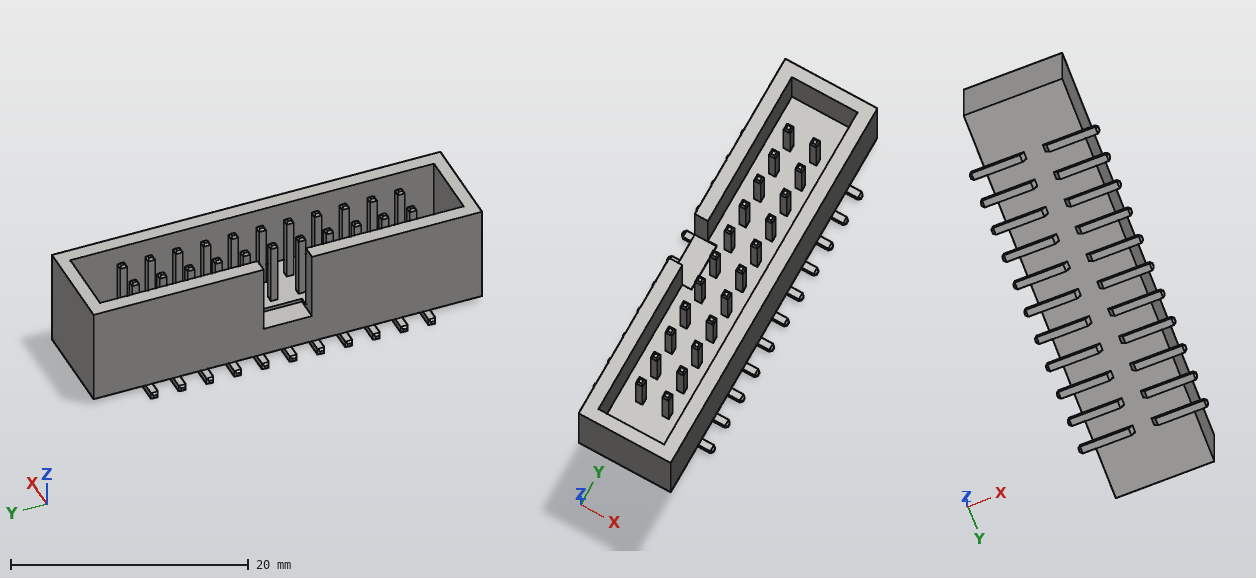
import cadquery as cq

housing_length = 35.55
housing_width = 8.9
housing_height = 9.05
side_wall = 1.28
end_wall = 1.15
cavity_depth = 6.0

slot_width = 4.4
slot_reach = 2.15
slot_depth = 6.33

pins_per_row = 11
end_margin_pitches = 2
pitch = housing_length / (pins_per_row - 1 + 2 * end_margin_pitches)
pin_size = 0.65
leg_thickness = 0.6
tip_length = 0.2
tip_ratio = 0.5
pin_tip_clearance = 0.25
leg_span = 11.6
heel_gap_top = 1.7
heel_gap_bottom = 2.42

housing_bottom = leg_thickness
housing_top = housing_bottom + housing_height


def make_housing():
    """Box with a rectangular cavity and a keying slot, both open to the rim."""
    box = (
        cq.Workplane("XY")
        .workplane(offset=housing_bottom)
        .rect(housing_width, housing_length)
        .extrude(housing_height)
    )
    cavity = (
        cq.Workplane("XY")
        .workplane(offset=housing_top)
        .rect(housing_width - 2 * side_wall, housing_length - 2 * end_wall)
        .extrude(-cavity_depth)
    )
    slot = (
        cq.Workplane("XY")
        .workplane(offset=housing_top)
        .center((slot_reach - housing_width) / 2, 0)
        .rect(slot_reach, slot_width)
        .extrude(-slot_depth)
    )
    return box.cut(cavity).cut(slot)


def make_tip(plane, depth):
    """Truncated pyramid that tapers a contact end along the plane normal."""
    return (
        cq.Workplane(plane)
        .rect(pin_size, depth)
        .workplane(offset=tip_length)
        .rect(pin_size * tip_ratio, depth * tip_ratio)
        .loft()
    )


def make_contact():
    """L-shaped contact of the +X row with a slanted heel, centred on Y = 0."""
    inner_x = (pitch - pin_size) / 2
    outer_x = inner_x + pin_size
    leg_end = leg_span / 2 - tip_length
    pin_end = housing_top - pin_tip_clearance - tip_length
    profile = [
        (heel_gap_bottom / 2, 0),
        (leg_end, 0),
        (leg_end, leg_thickness),
        (outer_x, leg_thickness),
        (outer_x, pin_end),
        (inner_x, pin_end),
        (inner_x, leg_thickness),
        (heel_gap_top / 2, leg_thickness),
    ]
    bar = cq.Workplane("XZ").polyline(profile).close().extrude(pin_size / 2, both=True)
    pin_tip = make_tip(cq.Plane.named("XY", origin=(pitch / 2, 0, pin_end)), pin_size)
    leg_tip = make_tip(cq.Plane.named("YZ", origin=(leg_end, 0, leg_thickness / 2)), leg_thickness)
    return bar.union(pin_tip).union(leg_tip)


result = make_housing()
right_contact = make_contact()
left_contact = right_contact.mirror("YZ")
for index in range(pins_per_row):
    y = (index - (pins_per_row - 1) / 2) * pitch
    for contact in (left_contact, right_contact):
        result = result.union(contact.translate((0, y, 0)))